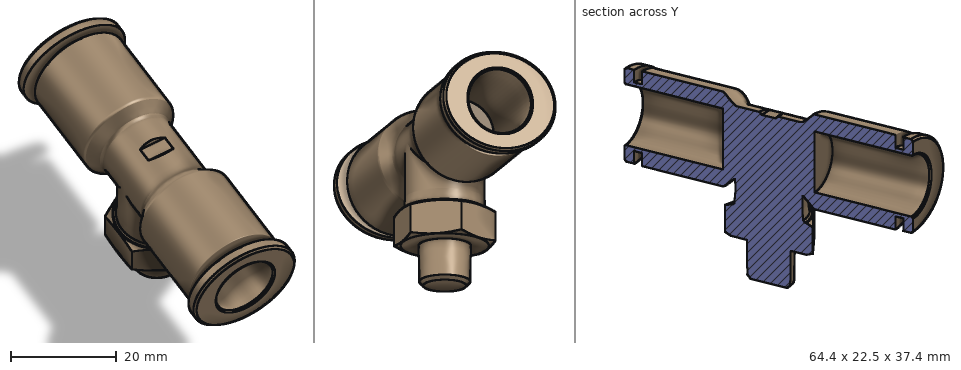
import cadquery as cq
import math

overall_length = 64.4
branch_bottom = -27.5

body_radius = 9.85
body_half_length = 28.3
body_edge_fillet = 0.2
neck_radius = 7.55
shoulder_outer_x = 10.05
shoulder_inner_x = 7.5
shoulder_blend_outer = 0.85
shoulder_blend_inner = 1.1

sleeve_radius = 7.15
flange_width = 22.5
flange_height = 19.45
flange_thickness = 2.25
flange_chamfer = 0.45
bore_radius = 6.25
bore_mouth_chamfer = 0.3
bore_depth = 21.9

recess_floor_z = 7.0
recess_floor_length = 3.0

collar_top = -10.5
collar_bottom = -12.6
collar_radius = 7.7
collar_foot_radius = 8.2
nut_top = -13.0
nut_bottom = -19.65
nut_across_flats = 17.0
nut_end_radius = 8.4
nut_chamfer_angle = 20.0
stem_top_radius = 4.95
stem_bottom_radius = 4.8
stem_chamfer = 0.8

end_x = overall_length / 2
selection_margin = 0.05


def rim_at(x):
    """Selector for the circular edge centred on the run axis at the given X."""
    corner = (x - selection_margin, -selection_margin, -selection_margin)
    opposite_corner = (x + selection_margin, selection_margin, selection_margin)
    return cq.selectors.BoxSelector(corner, opposite_corner)


def make_run():
    """Turned body: two large barrels joined to a thinner neck by conical shoulders."""
    profile = [
        (-body_half_length, 0),
        (-body_half_length, body_radius),
        (-shoulder_outer_x, body_radius),
        (-shoulder_inner_x, neck_radius),
        (shoulder_inner_x, neck_radius),
        (shoulder_outer_x, body_radius),
        (body_half_length, body_radius),
        (body_half_length, 0),
    ]
    run = cq.Workplane("XY").polyline(profile).close().revolve(360, (0, 0, 0), (1, 0, 0))
    for x, blend in (
        (body_half_length, body_edge_fillet),
        (shoulder_outer_x, shoulder_blend_outer),
        (shoulder_inner_x, shoulder_blend_inner),
    ):
        for side in (-1, 1):
            run = run.edges(rim_at(side * x)).fillet(blend)
    return run


def make_collet(side):
    """Round sleeve with an oval push flange on one end of the run."""
    flange_inner_x = end_x - flange_thickness
    sleeve = (
        cq.Workplane("YZ", origin=(side * body_half_length, 0, 0))
        .circle(sleeve_radius)
        .extrude(side * (flange_inner_x - body_half_length))
    )
    flange = (
        cq.Workplane("YZ", origin=(side * flange_inner_x, 0, 0))
        .ellipse(flange_width / 2, flange_height / 2)
        .extrude(side * flange_thickness)
        .faces(">X" if side > 0 else "<X")
        .chamfer(flange_chamfer)
    )
    return sleeve.union(flange)


def make_tube_bore(side):
    """Blind tube socket with a chamfered mouth."""
    bore_profile = [
        (end_x, 0),
        (end_x, bore_radius + bore_mouth_chamfer),
        (end_x - bore_mouth_chamfer, bore_radius),
        (end_x - bore_depth, bore_radius),
        (end_x - bore_depth, 0),
    ]
    points = [(side * x, radius) for x, radius in bore_profile]
    return cq.Workplane("XY").polyline(points).close().revolve(360, (0, 0, 0), (1, 0, 0))


def make_branch():
    """Branch tube, flared collar and tapered stem turned about Z."""
    profile = [
        (0, 0),
        (neck_radius, 0),
        (neck_radius, collar_top),
        (collar_radius, collar_bottom),
        (collar_foot_radius, nut_top),
        (stem_top_radius, nut_bottom),
        (stem_bottom_radius, branch_bottom + stem_chamfer),
        (stem_bottom_radius - stem_chamfer, branch_bottom),
        (0, branch_bottom),
    ]
    return cq.Workplane("XZ").polyline(profile).close().revolve(360, (0, 0, 0), (0, 1, 0))


def make_nut():
    """Hexagon with corners on the X axis, both ends turned to a shallow cone."""
    corner_radius = nut_across_flats / math.sqrt(3)
    drop = (corner_radius - nut_end_radius) * math.tan(math.radians(nut_chamfer_angle))
    hexagon = (
        cq.Workplane("XY", origin=(0, 0, nut_bottom))
        .polygon(6, 2 * corner_radius)
        .extrude(nut_top - nut_bottom)
    )
    envelope = [
        (0, nut_bottom),
        (nut_end_radius, nut_bottom),
        (corner_radius, nut_bottom + drop),
        (corner_radius, nut_top - drop),
        (nut_end_radius, nut_top),
        (0, nut_top),
    ]
    turned = cq.Workplane("XZ").polyline(envelope).close().revolve(360, (0, 0, 0), (0, 1, 0))
    return hexagon.intersect(turned)


def make_top_recess():
    """Flat-bottomed cut across the top of the neck with 45 degree end walls."""
    depth = body_radius - recess_floor_z
    half_floor = recess_floor_length / 2
    outline = [
        (-half_floor, recess_floor_z),
        (half_floor, recess_floor_z),
        (half_floor + depth, body_radius),
        (-half_floor - depth, body_radius),
    ]
    return cq.Workplane("XZ").polyline(outline).close().extrude(neck_radius, both=True)


result = make_run().union(make_branch()).union(make_nut())
for side in (-1, 1):
    result = result.union(make_collet(side)).cut(make_tube_bore(side))
result = result.cut(make_top_recess())